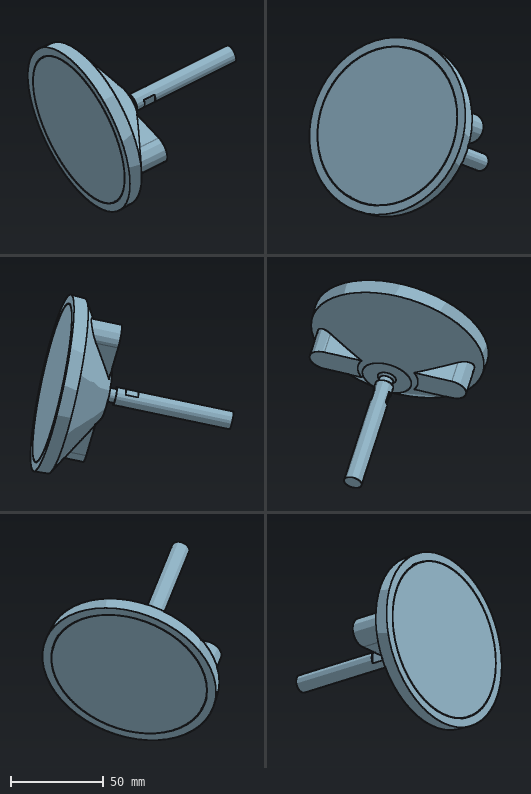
import cadquery as cq
import math


sole_diameter = 98.0
rim_top_diameter = 97.2
rim_height = 8.0
crown_diameter = 27.5
body_height = 30.0

pad_diameter = 87.5
pad_recess_diameter = 88.0
groove_depth = 2.0

lug_length = 88.0
lug_width = 16.5
lug_top = 28.0

total_height = 100.0
shaft_diameter = 10.0
shaft_start = 35.0
neck_diameter = 7.8
ball_diameter = 12.5
neck_start = 31.35
flats_width = 8.0
flats_start = 40.0
flats_length = 7.0


def slab(y_start):
    """Sketch plane facing +Y at the given height above the sole."""
    return cq.Workplane("XZ", origin=(0, y_start, 0))


def disc(diameter, y_start, y_end):
    return slab(y_start).circle(diameter / 2).extrude(y_start - y_end)


def make_body():
    profile = [
        (0, 0),
        (sole_diameter / 2, 0),
        (rim_top_diameter / 2, rim_height),
        (crown_diameter / 2, body_height),
        (0, body_height),
    ]
    return cq.Workplane("XY").polyline(profile).close().revolve(360, (0, 0, 0), (0, 1, 0))


def make_lug_bar():
    return slab(rim_height).slot2D(lug_length, lug_width).extrude(rim_height - lug_top)


def make_pad_groove():
    recess = disc(pad_recess_diameter, 0, groove_depth)
    return recess.cut(disc(pad_diameter, 0, groove_depth))


def make_spindle():
    ball_radius = ball_diameter / 2
    ball_centre = neck_start - math.sqrt(ball_radius**2 - (neck_diameter / 2) ** 2)
    ball = cq.Workplane("XY").sphere(ball_radius).translate((0, ball_centre, 0))
    neck = disc(neck_diameter, ball_centre, shaft_start)
    shaft = disc(shaft_diameter, shaft_start, total_height)
    return ball.union(neck).union(shaft.cut(make_wrench_flats()))


def make_wrench_flats():
    """Material removed to leave two flats facing -X and +X."""
    flats_end = flats_start + flats_length
    ring = disc(2 * shaft_diameter, flats_start, flats_end)
    kept = slab(flats_start).rect(flats_width, 2 * shaft_diameter).extrude(-flats_length)
    return ring.cut(kept)


result = (
    make_body()
    .union(make_lug_bar())
    .cut(make_pad_groove())
    .union(make_spindle())
)